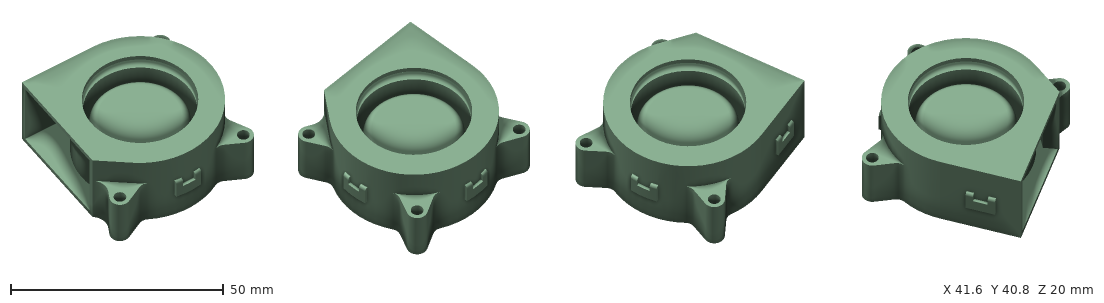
import cadquery as cq
import math

body_radius = 20.0
body_height = 20.0
side_wall = 1.3
floor_thickness = 1.2
front_corner_x = 9.65
inlet_diameter = 27.4

outlet_right_x = 8.3
tongue_x = 7.6
cavity_radius = body_radius - side_wall
tongue_y = -16.55

ear_radius = 2.5
ear_hole_diameter = 3.0
ear_height = 12.8
ear_offset = body_radius - ear_radius
ear_blend = 2.5
flank_blend = 4.0

clip_thickness = 0.8
flat_clip_width = 7.28
curved_clip_width = 7.05
clip_bottom = 6.9
clip_top = 11.98
flat_notch_width = 3.6
curved_notch_width = 3.45
clip_notch_bottom = 9.85
clip_root_depth = side_wall / 2
side_clip_y = -10.25

rotor_diameter = 33.0
rotor_bore = 27.0
rotor_bottom = 2.8
rotor_top = 16.18
rotor_web = 1.0
hub_diameter = 24.0
hub_top = 13.97
hub_round = 2.0

flank_angle = 2 * math.atan2(body_radius, front_corner_x) - math.pi / 2
flank_normal = cq.Vector(math.cos(flank_angle), math.sin(flank_angle))


def cylinder(diameter, bottom, top):
    return cq.Workplane("XY").workplane(offset=bottom).circle(diameter / 2).extrude(top - bottom)


def shell_block():
    flank_start = flank_normal * body_radius
    return (
        cq.Workplane("XY")
        .moveTo(-body_radius, -body_radius)
        .lineTo(front_corner_x, -body_radius)
        .lineTo(flank_start.x, -flank_start.y)
        .threePointArc((0, body_radius), (-body_radius, 0))
        .close()
        .extrude(body_height)
    )


def cavity():
    """Air passage between floor and roof, open at the outlet face and narrowing towards the tongue."""
    return (
        cq.Workplane("XY")
        .workplane(offset=floor_thickness)
        .moveTo(-cavity_radius, -body_radius)
        .lineTo(outlet_right_x, -body_radius)
        .lineTo(tongue_x, tongue_y)
        .threePointArc((0, cavity_radius), (-cavity_radius, 0))
        .close()
        .extrude(body_height - 2 * floor_thickness)
    )


def ear_side(normal, inward, blend, on_flank):
    """Points along one ear side: eye tangent, blend start, blend middle, blend end on the body."""
    center = cq.Vector(ear_offset, ear_offset)
    base = center + normal * (ear_radius + blend)
    reach = body_radius + blend
    if on_flank:
        travel = (reach - base.dot(flank_normal)) / inward.dot(flank_normal)
    else:
        along = base.dot(inward)
        travel = -along - math.sqrt(along**2 - base.dot(base) + reach**2)
    blend_center = base + inward * travel
    body_normal = flank_normal if on_flank else blend_center.normalized()
    middle = (normal + body_normal).normalized()
    return [
        center + normal * ear_radius,
        blend_center - normal * blend,
        blend_center - middle * blend,
        blend_center - body_normal * blend,
    ]


def ear(on_flank):
    """Ear in the +X +Y corner; its upper side blends into the flank or into the round wall."""
    center = cq.Vector(ear_offset, ear_offset)
    tip = center + cq.Vector(1, 1).normalized() * ear_radius
    right = ear_side(cq.Vector(2, -1).normalized(), cq.Vector(-1, -2).normalized(), ear_blend, False)
    upper_blend = flank_blend if on_flank else ear_blend
    upper = ear_side(cq.Vector(-1, 2).normalized(), cq.Vector(-2, -1).normalized(), upper_blend, on_flank)
    return (
        cq.Workplane("XY")
        .moveTo(right[3].x, right[3].y)
        .threePointArc(right[2].toTuple()[:2], right[1].toTuple()[:2])
        .lineTo(right[0].x, right[0].y)
        .threePointArc(tip.toTuple()[:2], upper[0].toTuple()[:2])
        .lineTo(upper[1].x, upper[1].y)
        .threePointArc(upper[2].toTuple()[:2], upper[3].toTuple()[:2])
        .close()
        .extrude(ear_height)
    )


def ear_hole(x, y):
    return cylinder(ear_hole_diameter, 0, ear_height).translate((x, y, 0))


def clip_profile():
    """Clip section in XZ, rooted in the wall at x = body_radius and rounded at its outer top."""
    outer = body_radius + clip_thickness
    round_center_z = clip_top - clip_thickness
    diagonal = clip_thickness * math.sqrt(0.5)
    return (
        cq.Workplane("XZ")
        .moveTo(body_radius - clip_root_depth, clip_bottom)
        .lineTo(outer, clip_bottom)
        .lineTo(outer, round_center_z)
        .threePointArc((body_radius + diagonal, round_center_z + diagonal), (body_radius, clip_top))
        .lineTo(body_radius - clip_root_depth, clip_top)
        .close()
    )


def notched(clip, notch_width):
    notch = cq.Workplane("XY").box(
        2 * (clip_thickness + clip_root_depth), notch_width, clip_top - clip_notch_bottom,
        centered=(True, True, False),
    )
    return clip.cut(notch.translate((body_radius, 0, clip_notch_bottom)))


def curved_clip():
    """Clip on the +X side that follows the round wall."""
    ring = clip_profile().revolve(360, (0, 0, 0), (0, 1, 0))
    window = cq.Workplane("XY").box(
        body_radius + clip_thickness, curved_clip_width, body_height, centered=(False, True, False)
    )
    return notched(ring.intersect(window), curved_notch_width)


def flat_clip():
    """Clip on the flat -X wall."""
    clip = notched(clip_profile().extrude(flat_clip_width / 2, both=True), flat_notch_width)
    return clip.mirror("YZ").translate((0, side_clip_y, 0))


def make_housing():
    body = shell_block()
    body = body.union(ear(False))
    body = body.union(ear(False).mirror("YZ"))
    body = body.union(ear(True).mirror("XZ"))
    body = body.union(flat_clip())
    for angle in (0, 90):
        body = body.union(curved_clip().rotate((0, 0, 0), (0, 0, 1), angle))
    for x_sign, y_sign in ((1, 1), (-1, 1), (1, -1)):
        body = body.cut(ear_hole(x_sign * ear_offset, y_sign * ear_offset))
    body = body.cut(cavity())
    return body.cut(cylinder(inlet_diameter, body_height - floor_thickness, body_height))


def make_impeller():
    """Drum joined to a round-topped hub by a thin web at the bottom."""
    drum = cylinder(rotor_diameter, rotor_bottom, rotor_top)
    drum = drum.cut(cylinder(rotor_bore, rotor_bottom + rotor_web, rotor_top))
    hub = cylinder(hub_diameter, rotor_bottom, hub_top).faces(">Z").edges().fillet(hub_round)
    return drum.union(hub)


housing = make_housing()
impeller = make_impeller()

result = cq.Compound.makeCompound([housing.solids().val(), impeller.solids().val()])